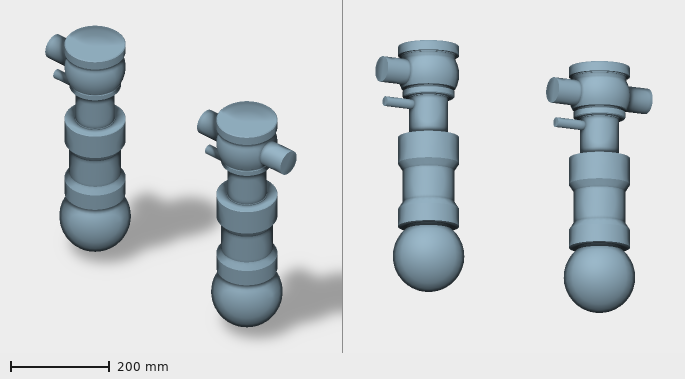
import cadquery as cq
import math


overall_length = 620.0
pipe_reach = 110.0
lamp_spacing = overall_length - 2 * pipe_reach
total_height = 507.0

body_radius = 124.0 / 2
waist_radius = 105.0 / 2
edge_chamfer = 2.0

globe_radius = 72.5
globe_top_z = 127.0
globe_top_radius = math.sqrt(globe_radius**2 - (globe_top_z - globe_radius)**2)

socket_tip_radius = 35.0
socket_mouth_radius = 44.5
lower_rim_z = 134.0
lower_rim_height = 36.0
waist_z = 185.0
waist_height = 64.5
rim_taper_height = waist_z - lower_rim_z - lower_rim_height
upper_rim_z = waist_z + waist_height + rim_taper_height
socket_top_z = 311.0

stem_radius = 79.0 / 2
stem_flange_thickness = 8.0
stem_flange_chamfer = 1.0
stem_flange_top_z = socket_top_z + stem_flange_thickness
stem_bead = 2.0
collar_joint_z = 407.0
collar_half_height = 6.0
rod_radius = 20.0 / 2
rod_z = 382.5
rod_reach = 102.0

sphere_z = 448.0
neck_bead_radius = 94.0 / 2
head_bead_width = 1.0
head_bead_height = 2.0
neck_radius = neck_bead_radius - head_bead_width
throat_radius = 109.0 / 2
sphere_half_height = math.sqrt(body_radius**2 - throat_radius**2)
cap_thickness = 20.0
cap_z = total_height - cap_thickness
pipe_radius = 52.0 / 2


def revolve_profile(profile):
    """Turn a closed (radius, Z) profile about the lamp axis."""
    return profile.close().revolve(360, (0, 0, 0), (0, 1, 0))


def disc(radius, bottom_z, height):
    return cq.Workplane("XY").workplane(offset=bottom_z).circle(radius).extrude(height)


def horizontal_bar(radius, z, start_x, length):
    return cq.Workplane("YZ", origin=(start_x, 0, z)).circle(radius).extrude(length)


def make_globe():
    """Ball cut flat where it meets the socket."""
    return revolve_profile(
        cq.Workplane("XZ")
        .moveTo(0, 0)
        .threePointArc((globe_radius, globe_radius), (globe_top_radius, globe_top_z))
        .lineTo(0, globe_top_z)
    )


def make_socket():
    """Two wide rims joined to a narrower waist by tapers, with a conical tip below."""
    return revolve_profile(
        cq.Workplane("XZ")
        .moveTo(0, globe_top_z)
        .lineTo(socket_tip_radius, globe_top_z)
        .lineTo(socket_mouth_radius, lower_rim_z)
        .lineTo(body_radius, lower_rim_z)
        .lineTo(body_radius, lower_rim_z + lower_rim_height)
        .lineTo(waist_radius, waist_z)
        .lineTo(waist_radius, waist_z + waist_height)
        .lineTo(body_radius, upper_rim_z)
        .lineTo(body_radius, socket_top_z)
        .lineTo(0, socket_top_z)
    )


def make_stem():
    """Tube between a socket flange and a collar flange, with a side rod."""
    collar_bottom_z = collar_joint_z - collar_half_height
    flange = disc(body_radius, socket_top_z, stem_flange_thickness).faces(">Z").chamfer(stem_flange_chamfer)
    tube = disc(stem_radius, socket_top_z, collar_joint_z - socket_top_z)
    collar = disc(waist_radius, collar_bottom_z, collar_half_height).faces("<Z").chamfer(edge_chamfer)
    lower_bead = disc(stem_radius + stem_bead, stem_flange_top_z, stem_bead)
    upper_bead = disc(stem_radius + stem_bead, collar_bottom_z - stem_bead, stem_bead)
    rod = horizontal_bar(rod_radius, rod_z, -rod_reach, rod_reach)
    stem = tube
    for part in (flange, collar, lower_bead, upper_bead, rod):
        stem = stem.union(part)
    return stem


def make_head(pipe_end_x):
    """Truncated sphere with cap and collar flange; its pipe runs from -X to pipe_end_x."""
    sphere_bottom_z = sphere_z - sphere_half_height
    sphere_top_z = sphere_z + sphere_half_height
    sphere = revolve_profile(
        cq.Workplane("XZ")
        .moveTo(0, sphere_bottom_z)
        .lineTo(throat_radius, sphere_bottom_z)
        .threePointArc((body_radius, sphere_z), (throat_radius, sphere_top_z))
        .lineTo(0, sphere_top_z)
    )
    collar = disc(waist_radius, collar_joint_z, collar_half_height)
    neck = disc(neck_radius, collar_joint_z, sphere_z - collar_joint_z)
    neck_bead = disc(neck_bead_radius, collar_joint_z + collar_half_height, head_bead_height)
    throat = disc(throat_radius, sphere_z, cap_z - sphere_z)
    throat_bead = disc(throat_radius + head_bead_width, cap_z - head_bead_height, head_bead_height)
    cap = disc(body_radius, cap_z, cap_thickness).faces(">Z").chamfer(edge_chamfer)
    pipe = horizontal_bar(pipe_radius, sphere_z, -pipe_reach, pipe_reach + pipe_end_x)
    head = sphere
    for part in (collar, neck, neck_bead, throat, throat_bead, cap, pipe):
        head = head.union(part)
    return head


lamps = [(-lamp_spacing / 2, 0), (lamp_spacing / 2, pipe_reach)]

bodies = []
for lamp_x, pipe_end_x in lamps:
    for body in (make_globe(), make_socket(), make_stem(), make_head(pipe_end_x)):
        bodies.append(body.translate((lamp_x, 0, 0)).val())

result = cq.Compound.makeCompound(bodies)